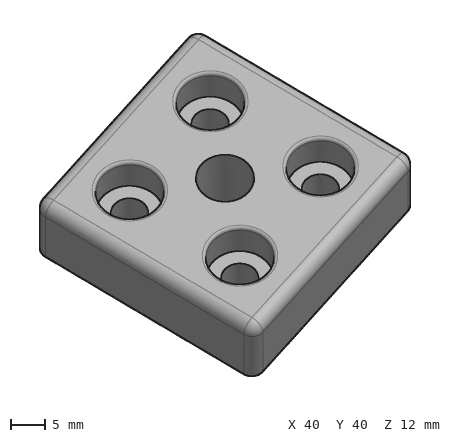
import cadquery as cq

side = 40.0
height = 12.0
edge_radius = 2.0

centre_hole_diameter = 8.5

hole_spacing = side / 2
screw_hole_diameter = 5.5
counterbore_diameter = 10.0
counterbore_depth = 5.8
rim_radius = 0.5


def make_block():
    """Square block with rounded upright edges and a rounded top edge; the base stays sharp."""
    block = cq.Workplane("XY").box(side, side, height, centered=(True, True, False))
    return block.edges("|Z or >Z").fillet(edge_radius)


def cut_screw_holes(body):
    """Counterbored through holes whose top rims are rounded over."""
    drilled = (
        body.faces(">Z")
        .workplane(origin=(0, 0, height))
        .rarray(hole_spacing, hole_spacing, 2, 2)
        .cboreHole(screw_hole_diameter, counterbore_diameter, counterbore_depth)
    )
    return drilled.faces(">Z").edges("%CIRCLE").fillet(rim_radius)


def cut_centre_hole(body):
    """Plain through hole with a sharp rim."""
    return body.faces(">Z").workplane(origin=(0, 0, height)).hole(centre_hole_diameter)


result = cut_centre_hole(cut_screw_holes(make_block()))